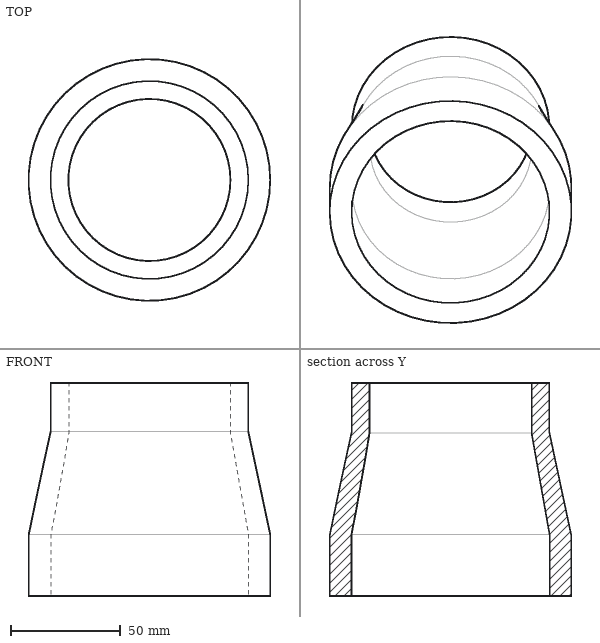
import cadquery as cq

large_diameter = 110.0
small_diameter = 90.0
small_bore = 73.6
large_bore = 90.0
total_height = 97.0
large_end_height = 28.0
small_end_height = 22.0
small_bore_depth = 22.8


def stepped_cone(lower_diameter, upper_diameter, upper_length):
    """Solid of two coaxial cylinders joined by a cone."""
    lower_radius = lower_diameter / 2
    upper_radius = upper_diameter / 2
    return (
        cq.Workplane("XZ")
        .lineTo(lower_radius, 0)
        .lineTo(lower_radius, large_end_height)
        .lineTo(upper_radius, total_height - upper_length)
        .lineTo(upper_radius, total_height)
        .lineTo(0, total_height)
        .close()
        .revolve(360, (0, 0, 0), (0, 1, 0))
    )


outer_body = stepped_cone(large_diameter, small_diameter, small_end_height)
bore = stepped_cone(large_bore, small_bore, small_bore_depth)

result = outer_body.cut(bore)